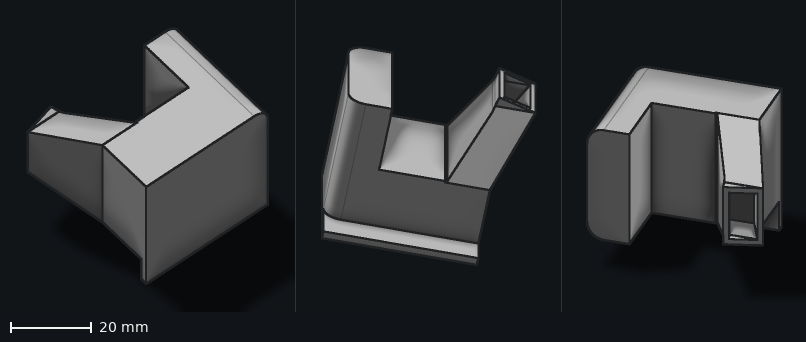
import cadquery as cq

body_length = 34.55
body_depth = 39.1
body_height = 30.95
column_width = 17.4
arm_depth = 11.1
back_radius = 4.4

tab_thickness = 1.95
tab_drop = 8.05

root_x = -17.0
root_back_y = 11.35
mouth_front = (-36.7, -7.65)
mouth_back = (-39.2, 1.9)
mouth_bottom = 6.95
mouth_top = 23.1
bend_near_mouth = (-36.7, 2.52)
bend_end = (-35.15, 2.95)
column_meeting = (-column_width, 10.85)

wall_x = 0.37
wall_y = 1.35
wall_z = 1.55

hollow_bends = [(-37.6, 0.9), (-36, 1.35)]
mouth_overshoot = 0.95


def make_body():
    """C-shaped body with its two long back edges rounded."""
    arm_front = body_depth - arm_depth
    outline = [
        (0, 0),
        (0, body_depth),
        (-body_length, body_depth),
        (-body_length, arm_front),
        (-column_width, arm_front),
        (-column_width, root_back_y),
        (root_x, root_back_y),
        (root_x, 0),
    ]
    body = cq.Workplane("XY").polyline(outline).close().extrude(body_height)
    return body.faces(">Y").edges("|X").fillet(back_radius)


def make_tab():
    """Thin plate hanging below the +X side, reaching up behind the lower rounded edge."""
    return cq.Workplane("XY").box(
        tab_thickness, body_depth, tab_drop + back_radius, centered=False
    ).translate((-tab_thickness, 0, -tab_drop))


def make_funnel(plan, inset):
    """Intersect a plan outline with a flaring side profile, inset in height."""
    mouth_x = mouth_back[0] - mouth_overshoot
    flare_x = mouth_front[0]
    profile = [
        (mouth_x, mouth_bottom + inset),
        (flare_x, mouth_bottom + inset),
        (root_x, inset),
        (root_x, body_height - inset),
        (flare_x, mouth_top - inset),
        (mouth_x, mouth_top - inset),
    ]
    plan_prism = cq.Workplane("XY").polyline(plan).close().extrude(body_height)
    side_prism = cq.Workplane("XZ").polyline(profile).close().extrude(body_depth, both=True)
    return plan_prism.intersect(side_prism)


def extend(start, end):
    """Continue a plan line past its end, by the overshoot measured along X."""
    slope = (end[1] - start[1]) / (end[0] - start[0])
    return (end[0] - mouth_overshoot, end[1] - slope * mouth_overshoot)


root_front = (root_x, 0)
root_back = (root_x, root_back_y)
back_wall = [mouth_back, bend_near_mouth, bend_end, column_meeting]
nozzle = make_funnel([root_front, mouth_front] + back_wall + [root_back], 0)

hollow_root_front = (root_x, wall_y)
hollow_root_back = (root_x, root_back_y - wall_y)
hollow_mouth_front = (mouth_front[0] - wall_x, mouth_front[1] + wall_y)
hollow_mouth_back = (mouth_back[0] + wall_x, mouth_back[1] - wall_y)
hollow_plan = [
    hollow_root_front,
    extend(hollow_root_front, hollow_mouth_front),
    extend(hollow_bends[0], hollow_mouth_back),
    *hollow_bends,
    hollow_root_back,
]
hollow = make_funnel(hollow_plan, wall_z)

result = make_body().union(make_tab()).union(nozzle).cut(hollow)